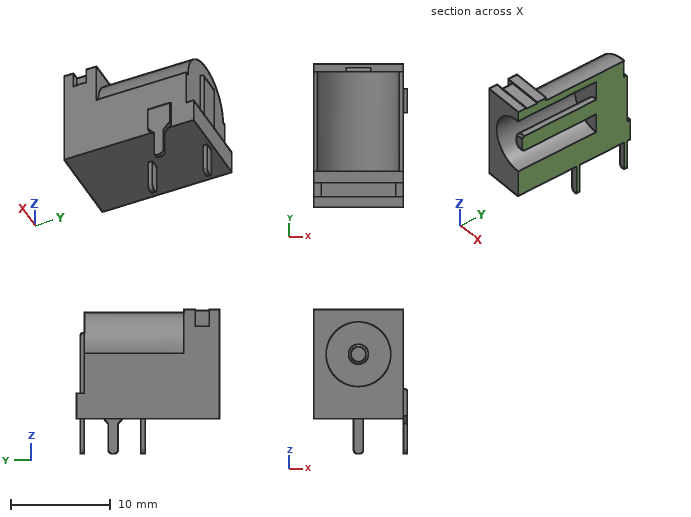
import cadquery as cq


housing_width = 9.0
housing_length = 14.4
housing_height = 11.0
collar_length = 3.6
rear_step_length = 0.8
rear_step_height = 2.6
barrel_end = housing_length - rear_step_length
barrel_radius = 4.12
barrel_axis_height = 6.58

groove_start = 1.05
groove_width = 1.4
groove_depth = 1.7
bar_length = 7.5
bar_top_gap = 0.1

socket_axis_height = 6.5
socket_diameter = 6.5
socket_depth = 10.0
contact_diameter = 2.0
contact_setback = 0.5
contact_chamfer = 0.25

sheet_thickness = 0.41
plate_width = 2.45
plate_edge_radius = 0.3
pin_width = 1.0
pin_length = 3.5
pin_tip_radius = 0.4
shoulder_height = 0.83
side_plate_top = 3.03
side_plate_center = 10.7
side_shoulder_bottom = -0.5
rear_plate_top = 8.64
rear_shoulder_bottom = 0.5
middle_pin_start = 7.46
middle_pin_thickness = 0.47
middle_pin_tip_radius = 0.45


def box(x_size, y_start, y_size, z_start, z_size):
    """Box centred on X = 0, placed by its lowest Y and Z."""
    return (
        cq.Workplane("XY")
        .box(x_size, y_size, z_size, centered=(True, False, False))
        .translate((0, y_start, z_start))
    )


def cylinder_along_y(diameter, axis_height, y_start, length):
    return (
        cq.Workplane("XZ", origin=(0, y_start, axis_height))
        .circle(diameter / 2)
        .extrude(-length)
    )


def make_housing():
    collar = box(housing_width, 0, collar_length, 0, housing_height)
    lower_block = box(housing_width, 0, barrel_end, 0, barrel_axis_height)
    rear_step = box(housing_width, 0, housing_length, 0, rear_step_height)
    barrel = cylinder_along_y(2 * barrel_radius, barrel_axis_height, 0, barrel_end)
    return collar.union(lower_block).union(rear_step).union(barrel)


def make_groove():
    """Material removed from the collar top, leaving the raised bar standing."""
    floor_height = housing_height - groove_depth
    groove = box(housing_width, groove_start, groove_width, floor_height, groove_depth)
    bar = box(bar_length, groove_start, groove_width, floor_height, groove_depth - bar_top_gap)
    return groove.cut(bar)


def make_socket():
    return cylinder_along_y(socket_diameter, socket_axis_height, 0, socket_depth)


def make_contact():
    contact_length = socket_depth - contact_setback
    contact = cylinder_along_y(contact_diameter, socket_axis_height, contact_setback, contact_length)
    return contact.faces("<Y").chamfer(contact_chamfer)


def make_pin(thickness, top, tip_radius):
    """Straight pin with a rounded tip, centred on X = 0, from Y = 0 to Y = thickness."""
    pin = box(pin_width, 0, thickness, -pin_length, pin_length + top)
    return pin.faces("<Z").edges("|Y").fillet(tip_radius)


def make_terminal(plate_top, shoulder_bottom):
    """Wide plate tapering into a pin; its outer face is at Y = sheet_thickness."""
    shoulder_top = shoulder_bottom + shoulder_height
    half_plate = plate_width / 2
    half_pin = pin_width / 2
    plate = (
        cq.Workplane("XZ")
        .moveTo(-half_plate, plate_top)
        .lineTo(half_plate, plate_top)
        .lineTo(half_plate, shoulder_top)
        .lineTo(half_pin, shoulder_bottom)
        .lineTo(-half_pin, shoulder_bottom)
        .lineTo(-half_plate, shoulder_top)
        .close()
        .extrude(-sheet_thickness)
    )
    plate = plate.faces(">Z").edges(">Y").fillet(plate_edge_radius)
    return plate.union(make_pin(sheet_thickness, shoulder_top, pin_tip_radius))


def make_rear_terminal():
    return make_terminal(rear_plate_top, rear_shoulder_bottom).translate((0, barrel_end, 0))


def make_side_terminal():
    terminal = make_terminal(side_plate_top, side_shoulder_bottom).rotate((0, 0, 0), (0, 0, 1), -90)
    return terminal.translate((housing_width / 2, side_plate_center, 0))


def make_middle_pin():
    pin = make_pin(middle_pin_thickness, 0, middle_pin_tip_radius)
    return pin.translate((0, middle_pin_start, 0))


result = (
    make_housing()
    .cut(make_groove())
    .cut(make_socket())
    .union(make_contact())
    .union(make_rear_terminal())
    .union(make_side_terminal())
    .union(make_middle_pin())
)